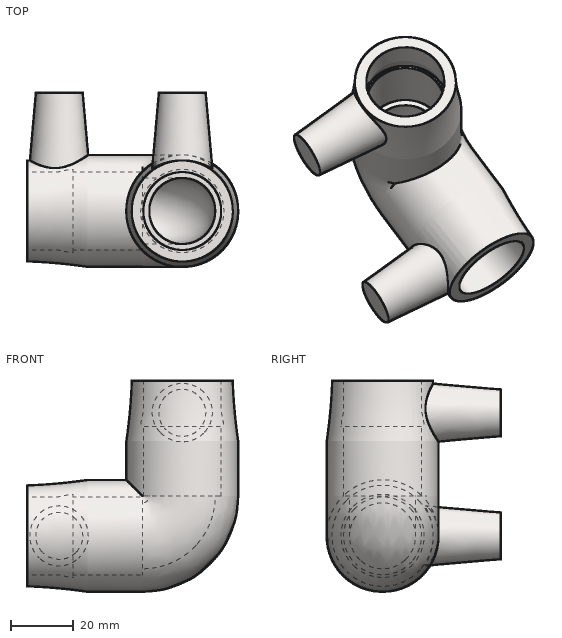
import cadquery as cq
import math

leg_length = 67.8
body_diameter = 36.0
body_radius = body_diameter / 2
bend_offset = 37.0
axis_position = leg_length - body_radius
bend_radius = axis_position - bend_offset

mouth_diameter = 32.5
taper_length = 19.45
taper_sag = 0.3
socket_diameter = 25.0
groove_start = 9.9
groove_end = 14.65
groove_radius = 13.35
groove_bulge = 0.15
bore_diameter = 21.2

terminal_tip_diameter = 15.1
overall_depth = 56.0
terminal_tip_y = overall_depth - body_radius
terminal_half_angle = 5.0
terminal_root_y = 9.5
terminal_offset = 10.3

horizontal_axis_z = body_radius
vertical_axis_x = axis_position
bend_centre_z = leg_length - bend_offset


def horizontal_leg_frame():
    """Plane at the horizontal opening, normal pointing into the leg."""
    return cq.Plane(origin=(0, 0, horizontal_axis_z), xDir=(0, 1, 0), normal=(1, 0, 0))


def vertical_leg_frame():
    """Plane at the vertical opening, normal pointing into the leg."""
    return cq.Plane(origin=(vertical_axis_x, 0, leg_length), xDir=(0, 1, 0), normal=(0, 0, -1))


def revolve_leg_profile(frame, profile_points):
    """Revolve a profile about a leg axis.

    Each entry is (radius, depth) for a straight stretch to that point, or
    (radius, depth, bow) for an arc whose middle is moved outward by bow.
    """
    profile_plane = cq.Plane(origin=frame.origin, xDir=frame.xDir, normal=frame.xDir.cross(frame.zDir))
    profile = cq.Workplane(profile_plane)
    last_radius, last_depth = 0, 0
    for radius, depth, *bow in profile_points:
        if bow:
            middle = ((last_radius + radius) / 2 + bow[0], (last_depth + depth) / 2)
            profile = profile.threePointArc(middle, (radius, depth))
        else:
            profile = profile.lineTo(radius, depth)
        last_radius, last_depth = radius, depth
    return profile.close().revolve(360, (0, 0), (0, 1))


def leg_solid(frame):
    """Outside of one leg: a curved taper followed by a cylinder up to the bend."""
    return revolve_leg_profile(
        frame,
        [
            (mouth_diameter / 2, 0),
            (body_radius, taper_length, -taper_sag),
            (body_radius, bend_offset),
            (0, bend_offset),
        ],
    )


def leg_socket(frame):
    """Socket of one leg, with its undercut groove, down to a flat floor at the bend."""
    socket_radius = socket_diameter / 2
    return revolve_leg_profile(
        frame,
        [
            (socket_radius, 0),
            (socket_radius, groove_start),
            (groove_radius, groove_end, groove_bulge),
            (socket_radius, groove_end),
            (socket_radius, bend_offset),
            (0, bend_offset),
        ],
    )


def bend(diameter):
    """Quarter turn of a round section, keeping only the part outside the bend axis."""
    section_plane = cq.Plane(
        origin=(bend_offset, 0, bend_centre_z), xDir=(0, 0, -1), normal=(1, 0, 0)
    )
    radius = diameter / 2
    section = cq.Workplane(section_plane)
    if radius > bend_radius:
        half_chord = math.sqrt(radius**2 - bend_radius**2)
        section = (
            section.moveTo(0, -half_chord)
            .threePointArc((bend_radius + radius, 0), (0, half_chord))
            .close()
        )
    else:
        section = section.center(bend_radius, 0).circle(radius).center(-bend_radius, 0)
    return section.revolve(90, (0, 0), (0, -1))


def terminal(x, z):
    """Solid cone running from inside the leg to the flat terminal tip."""
    tip_plane = cq.Plane(origin=(x, terminal_tip_y, z), xDir=(1, 0, 0), normal=(0, -1, 0))
    return (
        cq.Workplane(tip_plane)
        .circle(terminal_tip_diameter / 2)
        .extrude(terminal_tip_y - terminal_root_y, taper=-terminal_half_angle)
    )


leg_frames = [horizontal_leg_frame(), vertical_leg_frame()]
terminal_places = [
    (terminal_offset, horizontal_axis_z),
    (vertical_axis_x, leg_length - terminal_offset),
]

result = bend(body_diameter)
for frame in leg_frames:
    result = result.union(leg_solid(frame))
for x, z in terminal_places:
    result = result.union(terminal(x, z))

result = result.cut(bend(bore_diameter))
for frame in leg_frames:
    result = result.cut(leg_socket(frame))